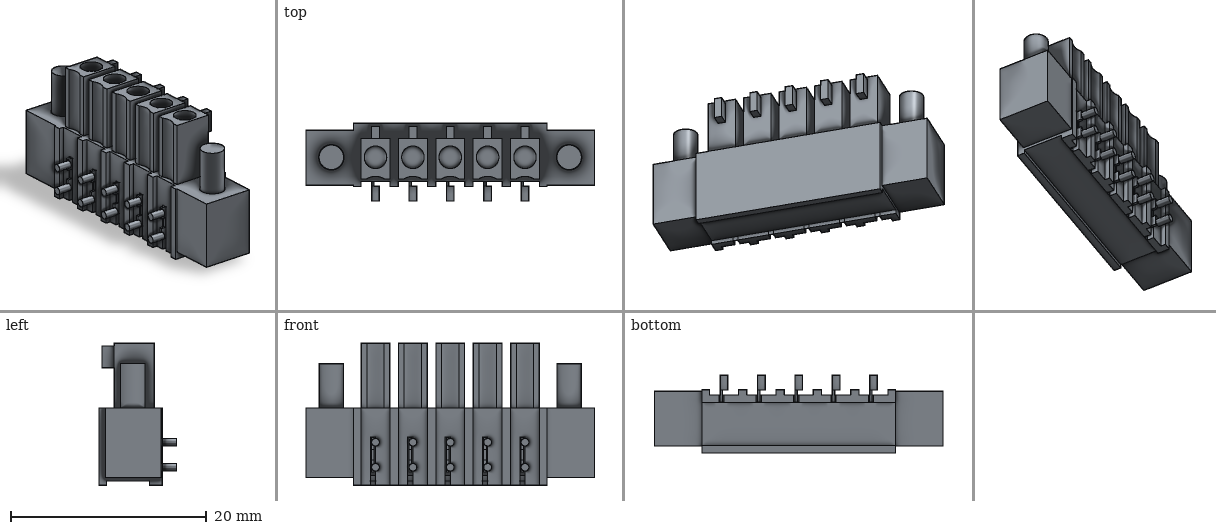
import cadquery as cq

pole_count = 5
row_span = 15.25
pole_pitch = row_span / (pole_count - 1)
pole_xs = [i * pole_pitch - row_span / 2 for i in range(pole_count)]

overall_length = 29.45
block_length = 19.78
block_height = 7.9
block_back = 3.47
rib_front = -3.0
recess_depth = 0.53
recess_front = rib_front + recess_depth

flange_back = 2.77
flange_front = -2.85
flange_bottom = 0.8

channel_height = 0.45
back_rail = 0.8
front_rail = 1.32

tower_width = 2.95
tower_back = 1.9
tower_front = -2.2
overall_height = 14.5
tower_hole_diameter = 2.3
tower_hole_depth = 1.03
groove_width = 1.77
groove_depth = 0.26

tab_width = 0.8
tab_height = 2.25
tab_back = 3.15
tab_top = overall_height - 0.3

pin_diameter = 0.8
pin_spacing = 2.55
pin_tip = -4.47
contact_z = 3.12
plate_thickness = 0.26
plate_height = 3.53
plate_front = -2.95
plate_left = -pin_diameter / 2
notch_height = 1.05
notch_floor = recess_front + 0.03

slot_left = -0.53
slot_right = 0.0
slot_top = 4.92
slot_step = 1.0
slot_depth = 1.77
entry_depth = 0.75
slot_back = recess_front + slot_depth
entry_back = recess_front + entry_depth

stud_x = 12.13
stud_xs = [-stud_x, stud_x]
stud_diameter = 2.5
stud_hole_diameter = 2.6
stud_top = 12.42
stud_hole_bottom = block_height / 2


def box(x0, x1, y0, y1, z0, z1):
    """Box between two opposite corners."""
    return cq.Workplane("XY").box(x1 - x0, y1 - y0, z1 - z0, centered=False).translate((x0, y0, z0))


def upright_cylinder(x, diameter, z0, z1):
    """Vertical cylinder on the Y = 0 plane."""
    return cq.Workplane("XY").workplane(offset=z0).center(x, 0).circle(diameter / 2).extrude(z1 - z0)


def make_shell():
    """Block with its two end flanges and the channel underneath."""
    block_end = block_length / 2
    flange_end = overall_length / 2
    block = box(-block_end, block_end, rib_front, block_back, 0, block_height)
    flanges = box(-flange_end, flange_end, flange_front, flange_back, flange_bottom, block_height)
    channel = box(
        -block_end, block_end, rib_front + front_rail, block_back - back_rail, 0, channel_height
    )
    return block.cut(channel).union(flanges)


def make_tower(x):
    """Tower with a shallow concave front, a blind hole in its top and a coding tab at its back."""
    half_width = tower_width / 2
    half_groove = groove_width / 2
    tower = (
        cq.Workplane("XY")
        .workplane(offset=block_height)
        .moveTo(x - half_width, tower_back)
        .lineTo(x - half_width, tower_front)
        .lineTo(x - half_groove, tower_front)
        .threePointArc((x, tower_front + groove_depth), (x + half_groove, tower_front))
        .lineTo(x + half_width, tower_front)
        .lineTo(x + half_width, tower_back)
        .close()
        .extrude(overall_height - block_height)
    )
    hole = upright_cylinder(x, tower_hole_diameter, overall_height - tower_hole_depth, overall_height)
    tab = box(
        x - tab_width / 2, x + tab_width / 2, tower_back, tab_back, tab_top - tab_height, tab_top
    )
    return tower.cut(hole).union(tab)


def make_recess(x):
    """Full-height recess in the front face that leaves ribs between the poles."""
    half_width = tower_width / 2
    return box(x - half_width, x + half_width, rib_front, recess_front, 0, block_height)


def make_slot(x):
    """Contact slot: a deep part for the plate above a shallower entry open at the bottom."""
    deep = box(x + slot_left, x + slot_right, recess_front, slot_back, slot_step, slot_top)
    entry = box(x + slot_left, x + slot_right, recess_front, entry_back, 0, slot_step)
    return deep.union(entry)


def make_housing():
    housing = make_shell()
    for x in pole_xs:
        housing = housing.cut(make_recess(x)).cut(make_slot(x)).union(make_tower(x))
    for x in stud_xs:
        housing = housing.cut(upright_cylinder(x, stud_hole_diameter, stud_hole_bottom, block_height))
    return housing


def make_stud(x):
    """Plain stud that stands on the floor of its clearance hole."""
    return upright_cylinder(x, stud_diameter, stud_hole_bottom, stud_top)


def make_contact(x):
    """Notched plate seated against the back of its slot, with two pins on its front edge."""
    left = x + plate_left
    right = left + plate_thickness
    half_plate = plate_height / 2
    half_notch = notch_height / 2
    plate = box(left, right, plate_front, slot_back, contact_z - half_plate, contact_z + half_plate)
    notch = box(left, right, plate_front, notch_floor, contact_z - half_notch, contact_z + half_notch)
    contact = plate.cut(notch)
    for side in (-1, 1):
        pin = (
            cq.Workplane("XZ", origin=(x, plate_front, contact_z + side * pin_spacing / 2))
            .circle(pin_diameter / 2)
            .extrude(plate_front - pin_tip)
        )
        contact = contact.union(pin)
    return contact


housing = make_housing()
studs = [make_stud(x) for x in stud_xs]
contacts = [make_contact(x) for x in pole_xs]

result = cq.Compound.makeCompound(
    [housing.val()] + [stud.val() for stud in studs] + [contact.val() for contact in contacts]
)